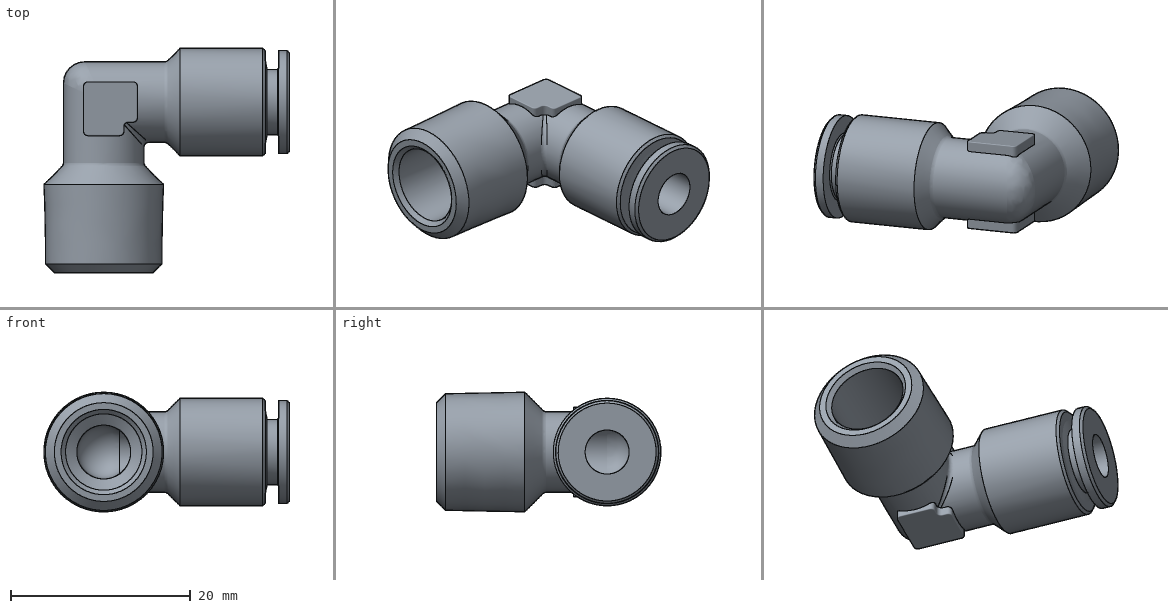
import cadquery as cq
import math


neck_radius = 4.5
neck_fillet = 0.5
outer_corner_fillet = 2.4
inner_corner_fillet = 0.5

tube_neck_length = 7.0
tube_body_radius = 6.0
tube_body_end = 18.0
tube_body_chamfer = 0.3

lip_radius = 4.65
lip_height = 0.2
collet_radius = 3.65
flange_radius = 5.75
flange_start = 19.475
flange_end = 20.7
flange_chamfer = 0.3
flange_root_chamfer = 0.15

thread_neck_length = 7.0
thread_radius = 6.675
thread_tip_radius = 6.5
thread_end = 19.0
thread_chamfer = 1.0

thread_bore_radius = 3.0
tube_bore_radius = 2.45
socket_radius = 4.25
socket_chamfer = 0.5
socket_cone_angle = 30.0

pad_height = 5.0
pad_size = 6.0
pad_start = 2.25
pad_notch = 1.5
pad_corner_radius = 0.5
pad_edge_fillet = 0.1

tube_shoulder_end = tube_neck_length + tube_body_radius - neck_radius
thread_shoulder_end = thread_neck_length + thread_radius - neck_radius

mitre_plane = cq.Plane(origin=(0, 0, 0), xDir=(1, -1, 0), normal=(1, 1, 0))

sector_reach = 3 * flange_end

outer_contact_angle = math.degrees(math.atan2(neck_radius - outer_corner_fillet, neck_radius))
inner_contact_angle = math.degrees(math.atan2(neck_radius, neck_radius + inner_corner_fillet))


def revolve_along_x(profile):
    """Turn a list of (distance, radius) points about the X axis."""
    first = (profile[0][0], 0)
    last = (profile[-1][0], 0)
    outline = cq.Workplane("XZ").polyline([first] + profile + [last]).close()
    return outline.revolve(360, (0, 0, 0), (1, 0, 0))


def turn_to_thread_arm(body):
    """Swing a body from the +X axis onto the -Y axis."""
    return body.rotate((0, 0, 0), (0, 0, 1), -90)


def fillet_neck(arm, neck_length):
    """Round the inside edge between the neck and its shoulder."""
    reach = neck_fillet / 2
    selector = cq.selectors.BoxSelector(
        (neck_length - reach, -thread_radius, -thread_radius),
        (neck_length + reach, thread_radius, thread_radius),
        boundingbox=True,
    )
    return arm.edges(selector).fillet(neck_fillet)


def make_tube_arm():
    body = revolve_along_x([
        (-neck_radius, neck_radius),
        (tube_neck_length, neck_radius),
        (tube_shoulder_end, tube_body_radius),
        (tube_body_end - tube_body_chamfer, tube_body_radius),
        (tube_body_end, tube_body_radius - tube_body_chamfer),
        (tube_body_end, lip_radius),
        (tube_body_end + lip_height, collet_radius),
        (flange_start - flange_root_chamfer, collet_radius),
        (flange_start, collet_radius + flange_root_chamfer),
        (flange_start, flange_radius),
        (flange_end - flange_chamfer, flange_radius),
        (flange_end, flange_radius - flange_chamfer),
    ])
    return fillet_neck(body, tube_neck_length)


def make_thread_arm():
    body = revolve_along_x([
        (-neck_radius, neck_radius),
        (thread_neck_length, neck_radius),
        (thread_shoulder_end, thread_radius),
        (thread_end - thread_chamfer, thread_tip_radius),
        (thread_end, thread_tip_radius - thread_chamfer),
    ])
    return turn_to_thread_arm(fillet_neck(body, thread_neck_length))


def keep_sector(body, start_angle, end_angle):
    """Keep the part of a body between two directions around the Z axis, in degrees."""
    corners = [(0, 0)]
    for angle in (start_angle, (start_angle + end_angle) / 2, end_angle):
        direction = math.radians(angle)
        corners.append((sector_reach * math.cos(direction), sector_reach * math.sin(direction)))
    sector = cq.Workplane("XY").polyline(corners).close().extrude(sector_reach, both=True)
    return body.intersect(sector)


def mitre_ellipse(radius):
    """Mitre plane cut of two crossing cylinders, starting at the inside of the elbow."""
    return cq.Workplane(mitre_plane).ellipse(radius * math.sqrt(2), radius)


def mitre_half_round(path_radius, round_radius, side):
    """Half disc swept round a mitre ellipse, on its outward (1) or inward (-1) side."""
    start = cq.Plane(
        origin=(path_radius, -path_radius, 0), xDir=(1, -1, 0), normal=(0, 0, 1)
    )
    half_disc = (
        cq.Workplane(start)
        .moveTo(0, -round_radius)
        .threePointArc((side * round_radius, 0), (0, round_radius))
        .close()
    )
    return half_disc.sweep(mitre_ellipse(path_radius))


def make_outer_corner():
    """Rolling-ball round on the outside of the mitre, filling the gap between the arms."""
    ball_path_radius = neck_radius - outer_corner_fillet
    core = mitre_ellipse(ball_path_radius).extrude(outer_corner_fillet, both=True)
    rounded = core.union(mitre_half_round(ball_path_radius, outer_corner_fillet, 1))
    return keep_sector(rounded, 90 + outer_contact_angle, 180 - outer_contact_angle)


def make_inner_corner():
    """Rolling-ball fillet in the inside corner of the mitre."""
    ball_path_radius = neck_radius + inner_corner_fillet
    core = mitre_ellipse(ball_path_radius).extrude(inner_corner_fillet, both=True)
    hollowed = core.cut(mitre_half_round(ball_path_radius, inner_corner_fillet, -1))
    return keep_sector(hollowed, -90 + inner_contact_angle, -inner_contact_angle)


def make_elbow():
    """Join the two arms through the rounded corners that fill the gaps between them."""
    tube_arm = keep_sector(make_tube_arm(), -inner_contact_angle, 90 + outer_contact_angle)
    thread_arm = keep_sector(make_thread_arm(), 180 - outer_contact_angle, 270 + inner_contact_angle)
    elbow = tube_arm.union(thread_arm)
    return elbow.union(make_outer_corner()).union(make_inner_corner())


def make_pads():
    """Square pads with a notch at the inside corner, joined through the elbow."""
    far = pad_size - pad_start
    step = far - pad_notch
    pads = (
        cq.Workplane("XY")
        .polyline([
            (-pad_start, pad_start),
            (far, pad_start),
            (far, -step),
            (step, -step),
            (step, -far),
            (-pad_start, -far),
        ])
        .close()
        .extrude(pad_height, both=True)
        .edges("|Z")
        .fillet(pad_corner_radius)
    )
    return pads.faces("<Z or >Z").edges().fillet(pad_edge_fillet)


def make_bores():
    """Thread bore with a round end, a wider socket, and the tube bore through +X."""
    cone_length = (socket_radius - thread_bore_radius) * math.tan(math.radians(socket_cone_angle))
    thread_bore = turn_to_thread_arm(revolve_along_x([
        (0, thread_bore_radius),
        (thread_shoulder_end - cone_length, thread_bore_radius),
        (thread_shoulder_end, socket_radius),
        (thread_end - socket_chamfer, socket_radius),
        (thread_end, socket_radius + socket_chamfer),
    ]))
    round_end = cq.Workplane("XY").sphere(thread_bore_radius)
    tube_bore = cq.Workplane("YZ").circle(tube_bore_radius).extrude(flange_end)
    return thread_bore.union(round_end).union(tube_bore)


result = make_elbow().union(make_pads()).cut(make_bores())